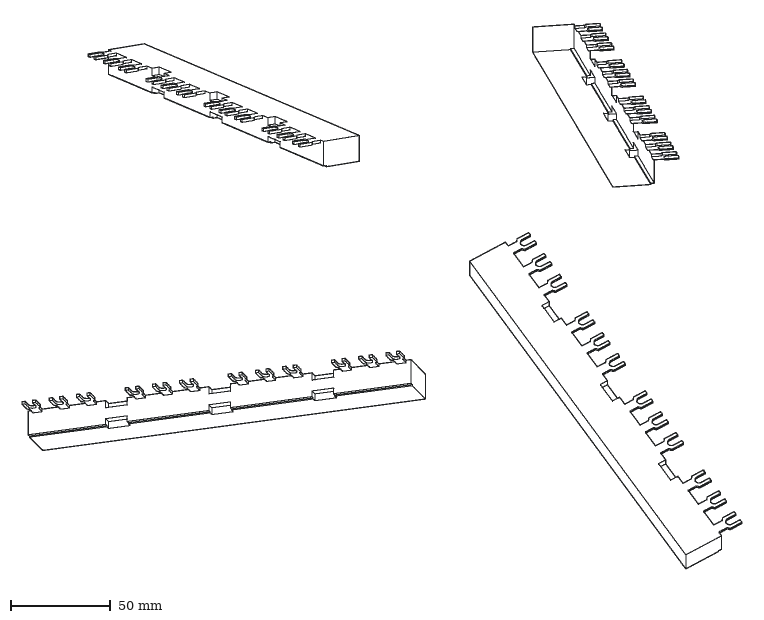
import cadquery as cq

length = 204.2
total_depth = 34.0
height = 13.5
body_depth = 21.2

step_depth = 1.8
step_height = 0.6

group_count = 4
group_span = 165.0
group_pitch = group_span / (group_count - 1)
terminals_per_group = 3
terminal_pitch = 14.5

notch_width = 11.5
notch_depth = 4.3
upper_notch_height = 3.9
lower_notch_height = 3.7

fork_length = total_depth - body_depth
fork_thickness = 1.5
stem_width = 5.0
stem_length = 5.0
prong_span = 7.4
shoulder_length = 1.0
slot_width = 3.9
slot_length = 7.0


def centred_positions(count, pitch):
    """Evenly spaced X positions, symmetric about zero."""
    return [(i - (count - 1) / 2) * pitch for i in range(count)]


def make_body():
    block = cq.Workplane("XY").box(length, body_depth, height, centered=(True, False, False))
    step = cq.Workplane("XY").box(length, step_depth, step_height, centered=(True, False, False))
    return block.cut(step)


def make_notch(x, bottom, notch_height):
    notch = cq.Workplane("XY").box(notch_width, notch_depth, notch_height, centered=(True, False, False))
    return notch.translate((x, 0, bottom))


def make_fork(x):
    """Flat terminal: a stem widening into two prongs around a round-ended open slot."""
    half_stem = stem_width / 2
    half_span = prong_span / 2
    slot_radius = slot_width / 2
    shoulder_end = -stem_length - shoulder_length
    slot_end = slot_length - fork_length
    arc_start = slot_end - slot_radius
    fork = (
        cq.Workplane("XY")
        .moveTo(-half_stem, 0)
        .lineTo(-half_stem, -stem_length)
        .lineTo(-half_span, shoulder_end)
        .lineTo(-half_span, -fork_length)
        .lineTo(-slot_radius, -fork_length)
        .lineTo(-slot_radius, arc_start)
        .threePointArc((0, slot_end), (slot_radius, arc_start))
        .lineTo(slot_radius, -fork_length)
        .lineTo(half_span, -fork_length)
        .lineTo(half_span, shoulder_end)
        .lineTo(half_stem, -stem_length)
        .lineTo(half_stem, 0)
        .close()
        .extrude(fork_thickness)
    )
    return fork.translate((x, 0, height - fork_thickness))


result = make_body()

for notch_x in centred_positions(group_count - 1, group_pitch):
    result = result.cut(make_notch(notch_x, height - upper_notch_height, upper_notch_height))
    result = result.cut(make_notch(notch_x, 0, lower_notch_height))

for group_x in centred_positions(group_count, group_pitch):
    for offset in centred_positions(terminals_per_group, terminal_pitch):
        result = result.union(make_fork(group_x + offset))